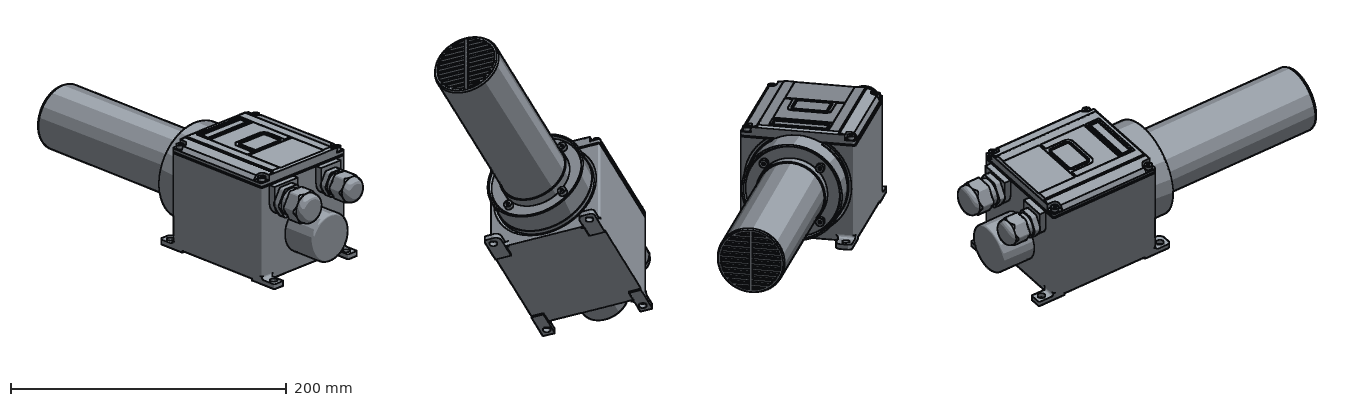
import cadquery as cq
import math

TOTAL_LENGTH = 279.7
TOTAL_WIDTH = 85.5
TOTAL_HEIGHT = 86.0
HALF_WIDTH = TOTAL_WIDTH / 2
AXIS_Z = 43.5

BODY_X0 = 156.0
BODY_X1 = 247.3
BODY_LENGTH = BODY_X1 - BODY_X0
BODY_MID_X = (BODY_X0 + BODY_X1) / 2
BODY_BOTTOM = 1.5
SEAM_Z = 76.0
SEAM_HEIGHT = 0.8
SEAM_DEPTH = 0.5
CORNER_RADIUS = 1.7
LID_BOTTOM = SEAM_Z + SEAM_HEIGHT
LID_SHOULDER_Z = 79.7
LID_BEVEL_Y = 40.0
LID_BEVEL_Z = 83.0
RIDGE_Y = 30.2
RIDGE_GROOVE_WIDTH = 0.5
RIDGE_GROOVE_DEPTH = 1.5
SLOPE_TOP_Z = 85.3
LID_END_CHAMFER = 1.7

POCKET_LENGTH = 8.5
POCKET_WIDTH = 7.8
POCKET_RADIUS = 3.4
POCKET_FLOOR_Z = 80.0
LID_SCREW_DIAMETER = 5.5
LID_SCREW_INSET = 4.0
LID_SCREW_TOP_Z = 82.8

PANEL_HALF_WIDTH = 22.5
PANEL_DEPTH = 0.3
WINDOW_X0 = 160.5
WINDOW_X1 = 172.3
WINDOW_FRAME = 1.7
WINDOW_RIM = 0.8
MAIN_PANEL_X0 = 174.0
MAIN_PANEL_X1 = 212.3
REAR_PANEL_X0 = 213.7
BUTTON_X0 = 191.0
BUTTON_HALF_WIDTH = 16.2
BUTTON_RADIUS = 4.5
BUTTON_WELL_RADIUS = 3.0
BUTTON_CORNER_RADIUS = 1.5
BUTTON_RIM = 2.2
BUTTON_GAP = 1.5

FOOT_X0 = 143.0
FOOT_X1 = 260.0
PAD_REACH = 10.0
FRONT_FOOT_WIDTH = 12.3
REAR_FOOT_WIDTH = 9.5
FOOT_THICKNESS = 4.0
FOOT_ROOT_RADIUS = 2.2
FRONT_FOOT_INNER_RADIUS = 4.5
FRONT_FOOT_OUTER_RADIUS = 2.5
REAR_FOOT_CORNER_RADIUS = 0.8
FOOT_HOLE_DIAMETER = 5.5
FOOT_HOLE_INSET_X = 6.0
FOOT_HOLE_INSET_Y = 5.3

DRUM_X0 = 136.8
DRUM_DIAMETER = 74.7
DRUM_RIM_X0 = 153.8
DRUM_RIM_DIAMETER = 75.5
DRUM_RECESS_DEPTH = 2.2
DRUM_RECESS_DIAMETER = 70.0
DRUM_MOUTH_DIAMETER = 72.0
RELIEF_DIAMETER = 80.0
RELIEF_DEPTH = 1.5
COLLAR_X0 = 131.7
COLLAR_DIAMETER = 52.0
TUBE_DIAMETER = 50.0
TUBE_FACE_DIAMETER = 48.5
TUBE_CHAMFER_LENGTH = 1.7
DRUM_SCREW_OFFSET = 21.0
DRUM_SCREW_DIAMETER = 6.2
DRUM_SCREW_X0 = 135.7
SCREW_SOCKET_DIAMETER = 2.2
SCREW_SOCKET_DEPTH = 1.5

SLOT_COUNT = 11
SLOT_PITCH = 4.2
SLOT_HEIGHT = 2.5
SLOT_DEPTH = 2.8
GRILLE_DIAMETER = 44.8
GRILLE_RIB_WIDTH = 2.2

INLET_DIAMETER = 37.5
INLET_Z = 32.2
INLET_END = 275.2
INLET_EDGE_RADIUS = 1.7

GLAND_Z = 63.0
BOSS_TOP_Z = 76.4
BOSS_END = 252.5
GLAND_FLANGE_END = 257.5
GLAND_NUT_SHOULDER = 2.2
HEX_EDGE_RADIUS = 2.5


def block(x0, x1, y0, y1, z0, z1):
    """Axis-aligned box between two corners."""
    return cq.Workplane("XY").box(x1 - x0, y1 - y0, z1 - z0, centered=False).translate((x0, y0, z0))


def rod(x0, x1, diameter, y, z):
    """Cylinder along X."""
    return cq.Workplane("YZ", origin=(x0, y, z)).circle(diameter / 2).extrude(x1 - x0)


def cone(x0, x1, diameter_0, diameter_1, y, z):
    """Truncated cone along X."""
    start = cq.Workplane("YZ", origin=(x0, y, z)).circle(diameter_0 / 2)
    return start.workplane(offset=x1 - x0).circle(diameter_1 / 2).loft()


def body():
    lower = block(BODY_X0, BODY_X1, -HALF_WIDTH, HALF_WIDTH, BODY_BOTTOM, SEAM_Z)
    lower = lower.edges("|Z").fillet(CORNER_RADIUS)
    neck_half_width = HALF_WIDTH - SEAM_DEPTH
    neck_x0 = BODY_X0 + SEAM_DEPTH
    neck_x1 = BODY_X1 - SEAM_DEPTH
    neck = block(neck_x0, neck_x1, -neck_half_width, neck_half_width, SEAM_Z, LID_BOTTOM)
    return lower.union(neck)


def lid():
    ridge_outer_y = RIDGE_Y + RIDGE_GROOVE_WIDTH
    groove_z = TOTAL_HEIGHT - RIDGE_GROOVE_DEPTH
    half_profile = [
        (HALF_WIDTH, LID_BOTTOM),
        (HALF_WIDTH, LID_SHOULDER_Z),
        (LID_BEVEL_Y, LID_BEVEL_Z),
        (ridge_outer_y, SLOPE_TOP_Z),
        (ridge_outer_y, groove_z),
        (RIDGE_Y, groove_z),
        (RIDGE_Y, TOTAL_HEIGHT),
    ]
    profile = half_profile + [(-y, z) for y, z in reversed(half_profile)]
    cover = cq.Workplane("YZ", origin=(BODY_X0, 0, 0)).polyline(profile).close().extrude(BODY_LENGTH)
    envelope = block(BODY_X0, BODY_X1, -HALF_WIDTH, HALF_WIDTH, LID_BOTTOM, TOTAL_HEIGHT)
    rounded = envelope.edges("|Z").fillet(CORNER_RADIUS)
    bevelled = envelope.edges(">Z and |Y").chamfer(LID_END_CHAMFER)
    return cover.intersect(rounded).intersect(bevelled)


def lid_corner_pockets():
    """Open corner pockets: each spans twice its size about the lid corner."""
    corners = cq.Workplane("XY", origin=(BODY_MID_X, 0, POCKET_FLOOR_Z)).rect(
        BODY_LENGTH, TOTAL_WIDTH, forConstruction=True
    )
    pockets = corners.vertices().rect(2 * POCKET_LENGTH, 2 * POCKET_WIDTH)
    return pockets.extrude(TOTAL_HEIGHT - POCKET_FLOOR_Z).edges("|Z").fillet(POCKET_RADIUS)


def lid_screws():
    spacing_x = BODY_LENGTH - 2 * LID_SCREW_INSET
    spacing_y = TOTAL_WIDTH - 2 * LID_SCREW_INSET
    centres = cq.Workplane("XY", origin=(BODY_MID_X, 0, LID_BOTTOM)).rect(
        spacing_x, spacing_y, forConstruction=True
    )
    heads = centres.vertices().circle(LID_SCREW_DIAMETER / 2).extrude(LID_SCREW_TOP_Z - LID_BOTTOM)
    sockets = (
        cq.Workplane("XY", origin=(BODY_MID_X, 0, LID_SCREW_TOP_Z - SCREW_SOCKET_DEPTH))
        .rect(spacing_x, spacing_y, forConstruction=True)
        .vertices()
        .circle(SCREW_SOCKET_DIAMETER / 2)
        .extrude(SCREW_SOCKET_DEPTH)
    )
    return heads.cut(sockets)


def panel_sheet(x0, x1, half_width, depth=PANEL_DEPTH):
    """Thin slab just below the lid top."""
    return block(x0, x1, -half_width, half_width, TOTAL_HEIGHT - depth, TOTAL_HEIGHT)


def lid_panels():
    """Material removed from the lid top: window, main panel around the button, rear panel."""
    frame = panel_sheet(WINDOW_X0, WINDOW_X1, PANEL_HALF_WIDTH)
    pane_outer = panel_sheet(
        WINDOW_X0 + WINDOW_FRAME, WINDOW_X1 - WINDOW_FRAME, PANEL_HALF_WIDTH - WINDOW_FRAME, 2 * PANEL_DEPTH
    )
    pane_inset = WINDOW_FRAME + WINDOW_RIM
    pane_inner = panel_sheet(
        WINDOW_X0 + pane_inset, WINDOW_X1 - pane_inset, PANEL_HALF_WIDTH - pane_inset, 3 * PANEL_DEPTH
    )
    button_surround = panel_sheet(BUTTON_X0, MAIN_PANEL_X1, BUTTON_HALF_WIDTH)
    button_surround = button_surround.edges("|Z and <X").fillet(BUTTON_RADIUS)
    button_well = panel_sheet(BUTTON_X0 + BUTTON_RIM, MAIN_PANEL_X1, BUTTON_HALF_WIDTH - BUTTON_RIM)
    button_well = button_well.edges("|Z").fillet(BUTTON_WELL_RADIUS)
    button_inset = BUTTON_RIM + BUTTON_GAP
    button = panel_sheet(
        BUTTON_X0 + button_inset, MAIN_PANEL_X1 - BUTTON_GAP, BUTTON_HALF_WIDTH - button_inset
    )
    button = button.edges("|Z").fillet(BUTTON_CORNER_RADIUS)
    main = panel_sheet(MAIN_PANEL_X0, MAIN_PANEL_X1, PANEL_HALF_WIDTH)
    main = main.cut(button_surround).union(button_well.cut(button))
    rear = panel_sheet(REAR_PANEL_X0, BODY_X1, PANEL_HALF_WIDTH)
    return [frame, pane_outer, pane_inner, main, rear]


def foot(tip_x, direction, side, width, inner_radius, outer_radius):
    """One foot; direction is the sense of X from its tip to the body, side the sign of Y."""
    body_face = BODY_X0 if direction > 0 else BODY_X1
    pad_end = body_face + direction * PAD_REACH
    inside_x = body_face + direction * CORNER_RADIUS
    root_start = body_face - direction * FOOT_ROOT_RADIUS
    root_top = FOOT_THICKNESS + FOOT_ROOT_RADIUS
    inner_y = HALF_WIDTH - width
    root_inner_y = inner_y - FOOT_ROOT_RADIUS
    arc_reach = FOOT_ROOT_RADIUS * math.sqrt(0.5)
    arc_x = root_start + direction * arc_reach

    side_profile = (
        cq.Workplane("XZ", origin=(0, HALF_WIDTH, 0))
        .moveTo(tip_x, 0)
        .lineTo(pad_end, 0)
        .lineTo(pad_end, FOOT_THICKNESS)
        .lineTo(inside_x, FOOT_THICKNESS)
        .lineTo(inside_x, root_top)
        .lineTo(body_face, root_top)
        .threePointArc((arc_x, root_top - arc_reach), (root_start, FOOT_THICKNESS))
        .lineTo(tip_x, FOOT_THICKNESS)
        .close()
        .extrude(width + FOOT_ROOT_RADIUS)
    )

    plan = (
        cq.Workplane("XY")
        .moveTo(tip_x, HALF_WIDTH)
        .lineTo(pad_end, HALF_WIDTH)
        .lineTo(pad_end, inner_y)
        .lineTo(body_face, inner_y)
        .lineTo(body_face, root_inner_y)
        .threePointArc((arc_x, root_inner_y + arc_reach), (root_start, inner_y))
        .lineTo(tip_x, inner_y)
        .close()
        .extrude(root_top)
    )
    tip = "<X" if direction > 0 else ">X"
    plan = plan.faces(tip).edges("|Z").edges("<Y").fillet(inner_radius)
    plan = plan.faces(tip).edges("|Z").edges(">Y").fillet(outer_radius)

    hole_x = tip_x + direction * FOOT_HOLE_INSET_X
    hole_y = HALF_WIDTH - FOOT_HOLE_INSET_Y
    hole = cq.Workplane("XY", origin=(hole_x, hole_y, 0)).circle(FOOT_HOLE_DIAMETER / 2)
    hole = hole.extrude(FOOT_THICKNESS)
    shape = side_profile.intersect(plan).cut(hole)
    return shape if side > 0 else shape.mirror("XZ")


def drum_relief():
    """Flared relief in the body face around the drum."""
    flare = cone(BODY_X0, BODY_X0 + RELIEF_DEPTH, RELIEF_DIAMETER, DRUM_RIM_DIAMETER, 0, AXIS_Z)
    return flare.intersect(block(BODY_X0, BODY_X1, -HALF_WIDTH, HALF_WIDTH, 0, SEAM_Z))


def drum():
    shape = rod(DRUM_X0, BODY_X0 + CORNER_RADIUS, DRUM_DIAMETER, 0, AXIS_Z)
    rim = rod(DRUM_RIM_X0, BODY_X0 + CORNER_RADIUS, DRUM_RIM_DIAMETER, 0, AXIS_Z)
    shape = shape.union(rim.intersect(block(DRUM_RIM_X0, BODY_X1, -HALF_WIDTH, HALF_WIDTH, 0, SEAM_Z)))
    floor_x = DRUM_X0 + DRUM_RECESS_DEPTH
    shape = shape.cut(cone(DRUM_X0, floor_x, DRUM_MOUTH_DIAMETER, DRUM_RECESS_DIAMETER, 0, AXIS_Z))
    for y in (-DRUM_SCREW_OFFSET, DRUM_SCREW_OFFSET):
        for z in (AXIS_Z - DRUM_SCREW_OFFSET, AXIS_Z + DRUM_SCREW_OFFSET):
            socket_floor = DRUM_SCREW_X0 + SCREW_SOCKET_DEPTH
            shape = shape.union(rod(DRUM_SCREW_X0, floor_x, DRUM_SCREW_DIAMETER, y, z))
            shape = shape.cut(rod(DRUM_SCREW_X0, socket_floor, SCREW_SOCKET_DIAMETER, y, z))
    return shape


def grille_slots():
    disc = rod(0, SLOT_DEPTH, GRILLE_DIAMETER, 0, AXIS_Z)
    bars = (
        cq.Workplane("YZ", origin=(0, 0, AXIS_Z))
        .rarray(2.8, SLOT_PITCH, 1, SLOT_COUNT)
        .rect(GRILLE_DIAMETER, SLOT_HEIGHT)
        .extrude(SLOT_DEPTH)
    )
    rib = block(0, SLOT_DEPTH, -GRILLE_RIB_WIDTH / 2, GRILLE_RIB_WIDTH / 2, 0, TOTAL_HEIGHT)
    return bars.intersect(disc).cut(rib)


def heater_tube():
    drum_floor = DRUM_X0 + DRUM_RECESS_DEPTH
    tube = rod(TUBE_CHAMFER_LENGTH, drum_floor, TUBE_DIAMETER, 0, AXIS_Z)
    tube = tube.union(cone(0, TUBE_CHAMFER_LENGTH, TUBE_FACE_DIAMETER, TUBE_DIAMETER, 0, AXIS_Z))
    tube = tube.cut(grille_slots())
    return tube.union(rod(COLLAR_X0, drum_floor, COLLAR_DIAMETER, 0, AXIS_Z))


def air_inlet():
    return rod(BODY_X1, INLET_END, INLET_DIAMETER, 0, INLET_Z).faces(">X").edges().fillet(INLET_EDGE_RADIUS)


def hex_prism(x0, x1, corner_diameter, y):
    """Hexagon along X with its corners on Y and softened edges."""
    prism = cq.Workplane("YZ", origin=(x0, y, GLAND_Z)).polygon(6, corner_diameter).extrude(x1 - x0)
    return prism.edges("|X").fillet(HEX_EDGE_RADIUS)


def cable_gland(
    y, boss_width, hex_diameter, neck_diameter, cap_diameter, nut_start, nut_end, cap_end, cap_radius
):
    """Gland along X: wall boss, fixed hexagon, neck, clamping nut and rounded cap."""
    half_boss = boss_width / 2
    boss = rod(BODY_X1, BOSS_END, boss_width, y, GLAND_Z)
    boss = boss.union(block(BODY_X1, BOSS_END, y - half_boss, y + half_boss, GLAND_Z, BOSS_TOP_Z))
    flange = hex_prism(BOSS_END, GLAND_FLANGE_END, hex_diameter, y)
    neck = rod(GLAND_FLANGE_END, nut_start, neck_diameter, y, GLAND_Z)
    nut = hex_prism(nut_start, nut_end, hex_diameter, y)
    shoulder_x = nut_end - GLAND_NUT_SHOULDER
    turned = rod(nut_start, shoulder_x, hex_diameter, y, GLAND_Z)
    turned = turned.union(cone(shoulder_x, nut_end, hex_diameter, cap_diameter, y, GLAND_Z))
    cap = rod(nut_end, cap_end, cap_diameter, y, GLAND_Z)
    cap = cap.faces(">X").edges().fillet(cap_radius)
    return boss.union(flange).union(neck).union(nut.intersect(turned)).union(cap)


result = body().union(lid().cut(lid_corner_pockets())).union(lid_screws())
for panel in lid_panels():
    result = result.cut(panel)
for foot_side in (-1, 1):
    front_foot = foot(
        FOOT_X0, 1, foot_side, FRONT_FOOT_WIDTH, FRONT_FOOT_INNER_RADIUS, FRONT_FOOT_OUTER_RADIUS
    )
    rear_foot = foot(
        FOOT_X1, -1, foot_side, REAR_FOOT_WIDTH, REAR_FOOT_CORNER_RADIUS, REAR_FOOT_CORNER_RADIUS
    )
    result = result.union(front_foot).union(rear_foot)
result = result.cut(drum_relief())
result = result.union(drum()).union(heater_tube()).union(air_inlet())
large_gland = cable_gland(
    y=-23.0,
    boss_width=24.0,
    hex_diameter=26.3,
    neck_diameter=20.7,
    cap_diameter=23.0,
    nut_start=262.5,
    nut_end=274.0,
    cap_end=TOTAL_LENGTH,
    cap_radius=4.0,
)
small_gland = cable_gland(
    y=23.2,
    boss_width=20.0,
    hex_diameter=22.5,
    neck_diameter=17.5,
    cap_diameter=19.5,
    nut_start=261.8,
    nut_end=273.5,
    cap_end=278.5,
    cap_radius=4.8,
)
result = result.union(large_gland).union(small_gland)